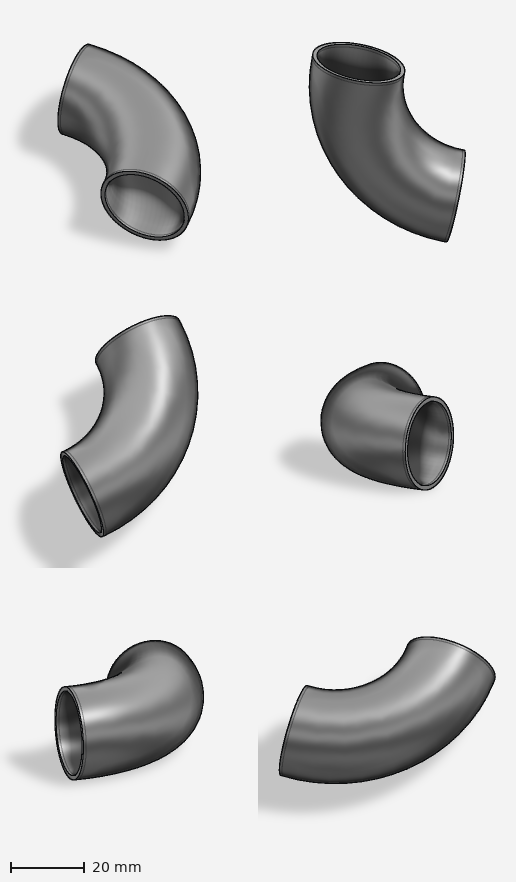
import cadquery as cq
import math

outer_diameter = 25.4
inner_diameter = 23.0
bend_radius = 33.05
bend_angle = 88.5
stub_length = 0.8

angle = math.radians(bend_angle)


def bend_point(turn):
    """Point on the centreline after turning by the given angle."""
    return bend_radius * math.cos(turn), bend_radius * math.sin(turn)


bend_end = bend_point(angle)
tube_end = (
    bend_end[0] - stub_length * math.sin(angle),
    bend_end[1] + stub_length * math.cos(angle),
)
centreline = (
    cq.Workplane("XY")
    .moveTo(bend_radius, -stub_length)
    .lineTo(bend_radius, 0)
    .threePointArc(bend_point(angle / 2), bend_end)
    .lineTo(*tube_end)
)

result = (
    cq.Workplane("XZ", origin=(bend_radius, -stub_length, 0))
    .circle(outer_diameter / 2)
    .circle(inner_diameter / 2)
    .sweep(centreline)
)